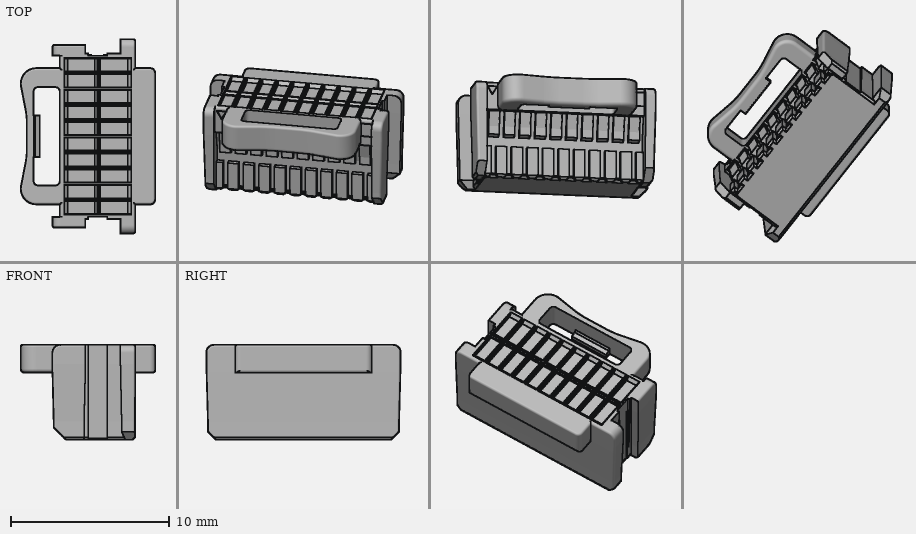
import cadquery as cq
import math


length_x = 8.5
height = 6.0
flange_y = 6.14

draft_top_z = 4.79
draft_bottom_z = 1.15

core_left = 3.19
core_right = 7.25
core_right_low = 7.22
core_y = 5.23
core_y_low = 5.16
end_groove_left = 4.26
end_groove_right = 5.45
end_groove_y = 5.08
pad_width = 0.2
edge_round = 0.15
bottom_chamfer = 0.16

post_left = 2.0
post_left_low = 2.08
post_right = 4.09
post_right_low = 4.0
post_y = 5.77
post_y_low = 5.67
post_inner_y = 5.08
post_top_round = 0.52
post_bottom_chamfer = 0.79
flange_left = 6.3
flange_left_low = 6.37
flange_y_low = 6.04
flange_top_round = 0.49
flange_chamfer = 0.52
flange_lead_in = 0.23

plate_bottom = 4.24
plate_y = 4.31
plate_overlap = 3.68
ledge_left = 2.45
shelf_left = 6.14
shelf_corner_round = 0.33
shelf_bottom_round = 0.17
grip_bottom_round = 0.25
grip_corner_radius = 1.0
grip_waist_x = 0.38
grip_waist_flat_y = 0.8
grip_waist_radius = 4.91
window_left = 0.82
window_y = 3.1
window_round = 0.26
tab_y = 1.31
tab_tip_x = 1.22
tab_ridge_x = 0.93
tab_ridge_z = 4.67
tab_root_z = 4.79
tab_tip_z = 4.54

positions = 10
cell_y = 0.9
cell_row_y = 9.9
pitch = (cell_row_y - cell_y) / (positions - 1)
cell_depth = 0.22
cell_side_bevel = 0.05
left_cell_ends = (2.75, 4.84)
right_cell_ends = (4.92, 6.99)
left_cell_inner_bevel = 0.15
right_cell_inner_bevel = 0.09

teeth_left = 2.87
teeth_top = 1.95
tooth_gap = 0.31
gap_sill_depth = 0.06
gap_sill_top = 0.26
lean_start_z = 2.73
lean_top_x = 2.79
block_y = 0.69
block_bottom = 2.62
block_lip = 0.1
block_face_x = 2.8
block_bend_z = 3.23
block_top_x = 2.5
block_flare = 0.06

recess_depth = 0.06
recess_bottom = 4.86
recess_top = 5.75
mark_center_y = 4.67
mark_width = 0.61
mark_height = 0.54


def box(x0, x1, y0, y1, z0, z1):
    return cq.Workplane("XY").box(x1 - x0, y1 - y0, z1 - z0, centered=False).translate((x0, y0, z0))


def xz_prism(points, y0, y1):
    """Outline in X and Z, swept from y0 to y1."""
    return cq.Workplane("XZ", origin=(0, y0, 0)).polyline(points).close().extrude(y0 - y1)


def yz_prism(points, x0, x1):
    """Outline in Y and Z, swept from x0 to x1."""
    return cq.Workplane("YZ", origin=(x0, 0, 0)).polyline(points).close().extrude(x1 - x0)


def drafted_block(top, low, left_taper_top=draft_top_z, right_taper_top=draft_top_z):
    """Block with plan (x0, x1, y0, y1) 'top' in its upper part, tapering to plan 'low' at its foot."""
    def side(start, end, low_start, low_end, start_taper_top, end_taper_top):
        return [(start, height), (start, start_taper_top), (low_start, draft_bottom_z), (low_start, 0),
                (low_end, 0), (low_end, draft_bottom_z), (end, end_taper_top), (end, height)]

    x0, x1, y0, y1 = top
    low_x0, low_x1, low_y0, low_y1 = low
    along = xz_prism(side(x0, x1, low_x0, low_x1, left_taper_top, right_taper_top), y0, y1)
    across = yz_prism(side(y0, y1, low_y0, low_y1, draft_top_z, draft_top_z), x0, x1)
    return along.intersect(across).clean()


def mirrored(solid):
    return solid.union(solid.mirror("XZ"))


def position_y(index):
    return (index - (positions - 1) / 2) * pitch


def make_core():
    core = drafted_block((core_left, core_right, -core_y, core_y),
                         (core_left, core_right_low, -core_y_low, core_y_low),
                         right_taper_top=plate_bottom)
    core = core.faces(">Z").edges(">X").fillet(edge_round)
    teeth = box(teeth_left, core_left, -post_inner_y, post_inner_y, 0, teeth_top)
    for index in range(positions):
        y = position_y(index)
        start_y = y - tooth_gap / 2
        end_y = y + tooth_gap / 2
        sill = box(core_left - gap_sill_depth, core_left, start_y, end_y, 0, gap_sill_top)
        teeth = teeth.cut(box(teeth_left, core_left, start_y, end_y, 0, teeth_top).cut(sill))
    core = core.union(teeth).faces("<Z").chamfer(bottom_chamfer)
    groove = box(end_groove_left, end_groove_right, end_groove_y, flange_y, 0, height)
    core = core.cut(mirrored(groove))
    for pad_left in (end_groove_left, end_groove_right - pad_width):
        pad = box(pad_left, pad_left + pad_width, end_groove_y, core_y_low, bottom_chamfer, draft_top_z)
        core = core.union(pad)
    return core


def make_post():
    post = drafted_block((post_left, post_right, post_inner_y, post_y),
                         (post_left_low, post_right_low, post_inner_y, post_y_low),
                         left_taper_top=plate_bottom)
    post = post.faces(">Z").edges("<X").fillet(post_top_round)
    post = post.faces(">Z").edges(">Y").fillet(edge_round)
    post = post.faces("<Z").edges(">Y").chamfer(bottom_chamfer)
    corner = xz_prism([(post_left_low, 0), (post_left_low + post_bottom_chamfer, 0),
                       (post_left_low, post_bottom_chamfer)], post_inner_y, post_y)
    return post.cut(corner)


def make_flange():
    flange = drafted_block((flange_left, core_right, 0, flange_y),
                           (flange_left_low, core_right_low, 0, flange_y_low),
                           right_taper_top=plate_bottom)
    flange = flange.faces(">Z").edges(">Y").fillet(flange_top_round)
    flange = flange.faces(">Z").edges(">X").fillet(edge_round)
    flange = flange.faces("<Z").edges(">X").chamfer(bottom_chamfer)
    foot = yz_prism([(flange_y_low, 0), (flange_y_low - flange_chamfer, 0), (flange_y_low, flange_chamfer)],
                    flange_left, core_right)
    lead_in = xz_prism([(flange_left_low, 0), (flange_left_low + flange_lead_in, 0),
                        (flange_left_low, flange_chamfer)], core_y_low - bottom_chamfer, flange_y)
    return flange.cut(foot).cut(lead_in)


def make_grip():
    """Left part of the top plate: round corners joined by straight flanks to a hollow waist."""
    corner_y = plate_y - grip_corner_radius
    waist_center_x = grip_waist_x - grip_waist_radius
    run_x = grip_corner_radius - waist_center_x
    run_y = corner_y - grip_waist_flat_y
    reach = math.hypot(run_x, run_y)
    flank = math.atan2(run_y, run_x) - math.acos((grip_waist_radius + grip_corner_radius) / reach)

    def corner_point(angle):
        return (grip_corner_radius * (1 - math.cos(angle)), corner_y - grip_corner_radius * math.sin(angle))

    def waist_point(angle):
        return (waist_center_x + grip_waist_radius * math.cos(angle),
                grip_waist_flat_y + grip_waist_radius * math.sin(angle))

    half = (
        cq.Workplane("XY", origin=(0, 0, plate_bottom))
        .moveTo(plate_overlap, 0)
        .lineTo(plate_overlap, plate_y)
        .lineTo(grip_corner_radius, plate_y)
        .threePointArc(corner_point(-math.pi / 4), corner_point(flank))
        .lineTo(*waist_point(flank))
        .threePointArc(waist_point(flank / 2), waist_point(0))
        .lineTo(grip_waist_x, 0)
        .close()
        .extrude(height - plate_bottom)
    )
    grip = mirrored(half).clean()
    grip = grip.faces(">Z").edges("not(>X)").fillet(edge_round)
    grip = grip.faces("<Z").edges("not(>X)").fillet(grip_bottom_round)
    window = box(window_left, ledge_left, -window_y, window_y, 0, height).edges("|Z").fillet(window_round)
    tab = xz_prism([(window_left, plate_bottom), (tab_tip_x, plate_bottom), (tab_tip_x, tab_tip_z),
                    (tab_ridge_x, tab_ridge_z), (window_left, tab_root_z)], -tab_y, tab_y)
    return grip.cut(window).union(tab)


def make_shelf():
    """Right part of the top plate."""
    shelf = box(shelf_left, length_x, -plate_y, plate_y, plate_bottom, height)
    rounded_side = shelf.faces("<Z").edges(">X").fillet(shelf_bottom_round)
    shelf = shelf.edges("|Z and >X").fillet(shelf_corner_round)
    shelf = shelf.faces(">Z").edges("not(<X)").fillet(edge_round)
    return shelf.intersect(rounded_side)


def make_ledge():
    """Strip left of the core, with a leaning wall beneath, a label recess and a first-position mark."""
    ledge = box(ledge_left, plate_overlap, -post_inner_y, post_inner_y, plate_bottom, height)
    ledge = ledge.faces(">Z").edges("<X").fillet(edge_round)
    lean = xz_prism([(core_left, lean_start_z), (lean_top_x, plate_bottom), (plate_overlap, plate_bottom),
                     (plate_overlap, lean_start_z)], -post_inner_y, post_inner_y)
    recess = box(ledge_left, ledge_left + recess_depth, -post_inner_y, -plate_y, recess_bottom, recess_top)
    mark = yz_prism([(mark_center_y - mark_width / 2, recess_top),
                     (mark_center_y + mark_width / 2, recess_top),
                     (mark_center_y, recess_top - mark_height)], ledge_left, ledge_left + recess_depth)
    return ledge.union(lean).cut(recess).cut(mark)


def make_terminal_block(y):
    half = block_y / 2
    flare_z = plate_bottom - block_flare
    side = xz_prism([(plate_overlap, block_bottom), (core_left, block_bottom),
                     (block_face_x, block_bottom + block_lip), (block_face_x, block_bend_z),
                     (block_top_x + block_flare, flare_z), (block_top_x, plate_bottom),
                     (plate_overlap, plate_bottom)], y - pitch / 2, y + pitch / 2)
    face = yz_prism([(y - half, block_bottom), (y + half, block_bottom), (y + half, flare_z),
                     (y + half + block_flare, plate_bottom), (y - half - block_flare, plate_bottom),
                     (y - half, flare_z)], block_top_x, plate_overlap)
    return side.intersect(face)


def make_cell(ends, left_bevel, right_bevel, y):
    """Shallow pocket with 45 degree bevels along all four rims."""
    left, right = ends
    floor = height - cell_depth
    outline = [(left, height), (left + left_bevel, height - left_bevel), (left + left_bevel, floor),
               (right - right_bevel, floor), (right - right_bevel, height - right_bevel), (right, height)]
    outline = [point for index, point in enumerate(outline) if point != outline[index - 1]]
    along = xz_prism(outline, y - cell_y / 2, y + cell_y / 2)
    half = cell_y / 2
    low_half = half - cell_side_bevel
    across = yz_prism([(y - half, height), (y - low_half, height - cell_side_bevel), (y - low_half, floor),
                       (y + low_half, floor), (y + low_half, height - cell_side_bevel), (y + half, height)],
                      left, right)
    return along.intersect(across)


result = make_core().union(mirrored(make_post())).union(mirrored(make_flange()))
result = result.union(make_ledge()).union(make_grip()).union(make_shelf())
for index in range(positions):
    y = position_y(index)
    result = result.union(make_terminal_block(y))
    result = result.cut(make_cell(left_cell_ends, cell_depth, left_cell_inner_bevel, y))
    result = result.cut(make_cell(right_cell_ends, right_cell_inner_bevel, cell_depth, y))